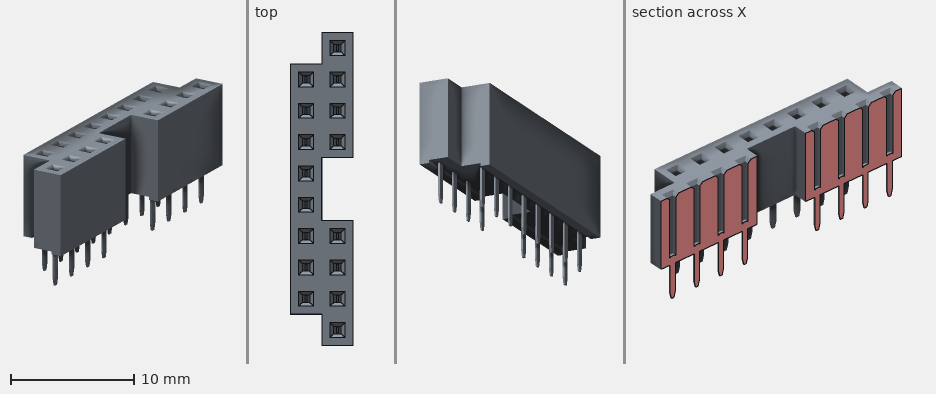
import cadquery as cq

PITCH = 2.54
ROW_COUNT = 10
LEFT_ROWS = [1, 2, 3, 4, 5, 6, 7, 8]
RIGHT_ROWS = [0, 1, 2, 3, 6, 7, 8, 9]

BODY_HEIGHT = 7.0
CHANNEL_DEPTH = 0.25
RAIL_WIDTH = 0.85

MOUTH_SIZE = 1.2
BORE_SIZE = 0.6
FUNNEL_DEPTH = 0.3
SOCKET_DEPTH = 6.0

TOTAL_HEIGHT = 10.1
PIN_THICKNESS = 0.15
PIN_WIDTH = 0.6
PIN_TIP_WIDTH = 0.3
PIN_TIP_LENGTH = 0.6
BLADE_WIDTH = 0.5
BLADE_RISE = 0.1

body_width = 2 * PITCH
body_length = ROW_COUNT * PITCH
column_x = PITCH / 2
pin_bottom = BODY_HEIGHT - TOTAL_HEIGHT
socket_floor = BODY_HEIGHT - SOCKET_DEPTH


def row_y(row):
    """Y of a row centre; row 0 is at the -Y end."""
    return (row - (ROW_COUNT - 1) / 2) * PITCH


def contact_positions():
    """XY of every contact, left column first."""
    left = [(-column_x, row_y(row)) for row in LEFT_ROWS]
    right = [(column_x, row_y(row)) for row in RIGHT_ROWS]
    return left + right


def make_housing():
    """Two-column block with the unused grid cells missing and a channel underneath."""
    block = cq.Workplane("XY").box(body_width, body_length, BODY_HEIGHT, centered=(True, True, False))
    cell = cq.Workplane("XY").rect(PITCH, PITCH).extrude(BODY_HEIGHT)
    for x, rows in ((-column_x, LEFT_ROWS), (column_x, RIGHT_ROWS)):
        for row in range(ROW_COUNT):
            if row not in rows:
                block = block.cut(cell.translate((x, row_y(row), 0)))
    channel_width = body_width - 2 * RAIL_WIDTH
    channel = cq.Workplane("XY").rect(channel_width, body_length).extrude(CHANNEL_DEPTH)
    return block.cut(channel)


def make_socket():
    """Square bore with a tapered funnel at its mouth, centred on the Z axis."""
    bore = cq.Workplane("XY").workplane(offset=socket_floor).rect(BORE_SIZE, BORE_SIZE).extrude(SOCKET_DEPTH)
    funnel = (
        cq.Workplane("XY")
        .workplane(offset=BODY_HEIGHT)
        .rect(MOUTH_SIZE, MOUTH_SIZE)
        .workplane(offset=-FUNNEL_DEPTH)
        .rect(BORE_SIZE, BORE_SIZE)
        .loft(ruled=True)
    )
    return bore.union(funnel)


def make_pin():
    """Flat pin with a tapered tip, and a narrower blade rising just above the socket floor."""
    shoulder = (CHANNEL_DEPTH + socket_floor) / 2
    tip_top = pin_bottom + PIN_TIP_LENGTH
    half_outline = [
        (PIN_TIP_WIDTH / 2, pin_bottom),
        (PIN_WIDTH / 2, tip_top),
        (PIN_WIDTH / 2, shoulder),
        (BLADE_WIDTH / 2, shoulder),
        (BLADE_WIDTH / 2, socket_floor + BLADE_RISE),
    ]
    mirrored = [(-y, z) for y, z in reversed(half_outline)]
    outline = cq.Workplane("YZ").polyline(half_outline + mirrored).close()
    return outline.extrude(PIN_THICKNESS / 2, both=True)


result = make_housing()
socket = make_socket()
pin = make_pin()
for x, y in contact_positions():
    result = result.cut(socket.translate((x, y, 0)))
    result = result.union(pin.translate((x, y, 0)))